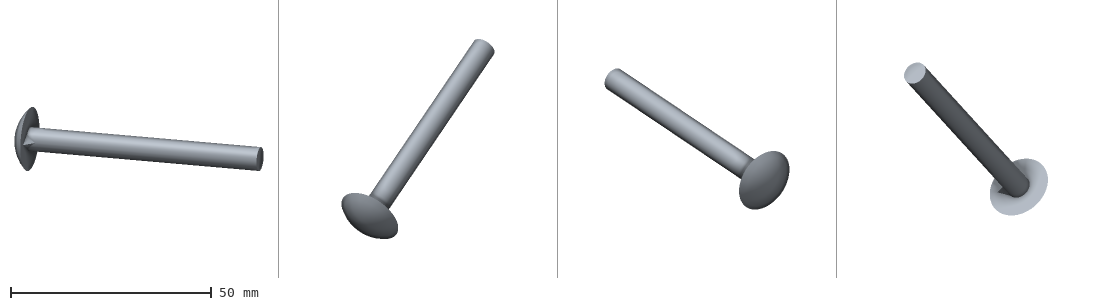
import cadquery as cq
import math

total_length = 63.5
head_diameter = 16.05
head_height = 3.55
shank_diameter = 5.95
nib_reach = 5.85
nib_length = 2.2
nib_root_width = 3.95

head_radius = head_diameter / 2
shank_radius = shank_diameter / 2
shank_length = total_length - head_height


def make_head():
    """Spherical cap whose flat underside lies on the plane X = 0."""
    dome_radius = (head_radius**2 + head_height**2) / (2 * head_height)
    dome_center_x = dome_radius - head_height
    half_angle = math.asin(head_radius / dome_radius) / 2
    arc_middle = (
        dome_center_x - dome_radius * math.cos(half_angle),
        dome_radius * math.sin(half_angle),
    )
    return (
        cq.Workplane("XY")
        .moveTo(-head_height, 0)
        .threePointArc(arc_middle, (0, head_radius))
        .lineTo(0, 0)
        .close()
        .revolve(360, (0, 0, 0), (1, 0, 0))
    )


def make_shank():
    """Plain cylinder from the head's underside to the flat end."""
    return cq.Workplane("YZ").circle(shank_radius).extrude(shank_length)


def make_nib():
    """Three-sided pyramid that tapers from the head's underside onto the shank."""
    half_width = nib_root_width / 2
    root_y = -math.sqrt(shank_radius**2 - half_width**2)
    tip = cq.Vector(0, -nib_reach, 0)
    upper_root = cq.Vector(0, root_y, half_width)
    lower_root = cq.Vector(0, root_y, -half_width)
    apex = cq.Vector(nib_length, -shank_radius, 0)
    triangles = [
        (tip, upper_root, lower_root),
        (tip, upper_root, apex),
        (upper_root, lower_root, apex),
        (lower_root, tip, apex),
    ]
    faces = [
        cq.Face.makeFromWires(cq.Wire.makePolygon(corners, close=True))
        for corners in triangles
    ]
    return cq.Workplane(cq.Solid.makeSolid(cq.Shell.makeShell(faces)))


result = make_head().union(make_shank()).union(make_nib())